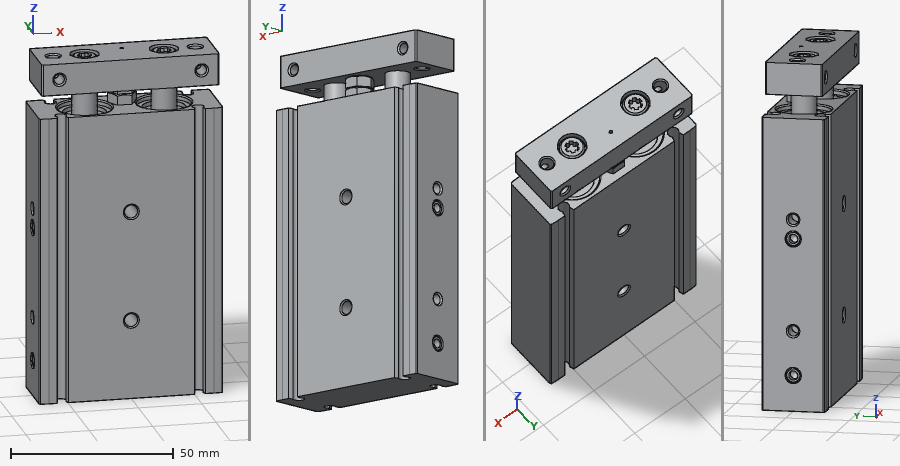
import cadquery as cq
import math

TOTAL_HEIGHT = 109.0

HOUSING_WIDTH = 58.0
HOUSING_DEPTH = 20.0
HOUSING_HEIGHT = 91.9

PLATE_WIDTH = 56.0
PLATE_DEPTH = 18.0
PLATE_HEIGHT = 10.0
PLATE_CHAMFER = 0.4

CORNER_WIDTH = 2.9
CORNER_DROP = 0.2
EDGE_CHAMFER = 0.3

SLOT_X = 21.7
SLOT_OUTER_WIDTH = 3.6
SLOT_INNER_WIDTH = 2.6
SLOT_LIP_DEPTH = 1.5
SLOT_BORE = 3.6
SLOT_BORE_DEPTH = 2.7

SMALL_DRILL = 3.3
SMALL_RIM = 4.3
LARGE_DRILL = 4.1
LARGE_RIM = 5.0
DRILL_TIP_ANGLE = 30.0

MOUNT_LOW_Z = 25.2
MOUNT_PITCH = 35.0
MOUNT_HEIGHTS = [MOUNT_LOW_Z, MOUNT_LOW_Z + MOUNT_PITCH]
SIDE_MOUNT_DEPTH = 6.0

PORT_LOW_Z = 11.2
PORT_PITCH = 42.8
PORT_HEIGHTS = [PORT_LOW_Z, PORT_LOW_Z + PORT_PITCH]
PORT_CENTRE_DROP = 0.3
PORT_CENTRE_DIAMETER = 4.1
PORT_SOCKET = 2.8
PORT_SOCKET_DEPTH = 2.7

PLATE_HOLE_X = 22.5

ROD_X = 12.5
ROD_DIAMETER = 8.0
ROD_INSERTION = 10.9
RECESS_RIM = 17.9
RECESS_DIAMETER = 17.0
RECESS_DEPTH = 1.6
GLAND_DIAMETER = 13.6
GLAND_DEPTH = 2.9

HEAD_BORE = 9.0
HEAD_BORE_DEPTH = 2.2
HEAD_DROP = 0.4
HEAD_TOP_DIAMETER = 6.9
SOCKET_DIAMETER = 4.4
SOCKET_LOBES = 6
SOCKET_SCALLOP = 1.1
SOCKET_DEPTH = 2.2

STOP_Y = 3.5
HEX_CORNERS = 9.2
HEX_TOP_DIAMETER = 6.9
HEX_CHAMFER_ANGLE = 30.0
BOLT_HEIGHT = 3.5
PINHOLE_DIAMETER = 1.0

HALF_WIDTH = HOUSING_WIDTH / 2
HALF_DEPTH = HOUSING_DEPTH / 2
PLATE_BOTTOM = TOTAL_HEIGHT - PLATE_HEIGHT
CROSS_HOLE_Z = PLATE_BOTTOM + PLATE_HEIGHT / 2
NUT_BOTTOM = HOUSING_HEIGHT + BOLT_HEIGHT
ROD_PLACES = (-ROD_X, ROD_X)


def cylinder(diameter, height):
    return cq.Workplane("XY").circle(diameter / 2).extrude(height)


def countersunk_hole(drill, rim, depth):
    """Blind flat-bottomed hole with a 45 degree countersink at its mouth."""
    sink = (rim - drill) / 2
    return (
        cq.Workplane("XZ")
        .lineTo(rim / 2, 0)
        .lineTo(drill / 2, sink)
        .lineTo(drill / 2, depth)
        .lineTo(0, depth)
        .close()
        .revolve(360, (0, 0, 0), (0, 1, 0))
    )


def countersunk_through_hole(drill, rim, length):
    """Hole of the given length, countersunk at both ends."""
    near = countersunk_hole(drill, rim, length / 2)
    far = near.mirror("XY").translate((0, 0, length))
    return near.union(far)


def port_hole():
    """Sunken port: a flat ring with a bevelled rim around a socket that ends in a drill tip."""
    rim_radius = LARGE_RIM / 2
    ring_radius = PORT_CENTRE_DIAMETER / 2
    socket_radius = PORT_SOCKET / 2
    bevel = rim_radius - ring_radius
    tip = socket_radius * math.tan(math.radians(DRILL_TIP_ANGLE))
    return (
        cq.Workplane("XZ")
        .lineTo(rim_radius, 0)
        .lineTo(rim_radius, PORT_CENTRE_DROP + bevel)
        .lineTo(ring_radius, PORT_CENTRE_DROP)
        .lineTo(socket_radius, PORT_CENTRE_DROP)
        .lineTo(socket_radius, PORT_SOCKET_DEPTH)
        .lineTo(0, PORT_SOCKET_DEPTH + tip)
        .close()
        .revolve(360, (0, 0, 0), (0, 1, 0))
    )


def toward_back(cutter):
    """Turn a cutter so that it runs along +Y."""
    return cutter.rotate((0, 0, 0), (1, 0, 0), -90)


def toward_right(cutter):
    """Turn a cutter so that it runs along +X."""
    return cutter.rotate((0, 0, 0), (0, 1, 0), 90)


def corner_relief():
    """Sliver that rounds off the +Y face beside its +X edge."""
    radius = (CORNER_WIDTH**2 + CORNER_DROP**2) / (2 * CORNER_DROP)
    half_angle = math.asin(CORNER_WIDTH / radius) / 2
    start_x = HALF_WIDTH - CORNER_WIDTH
    middle = (
        start_x + radius * math.sin(half_angle),
        HALF_DEPTH - radius * (1 - math.cos(half_angle)),
    )
    return (
        cq.Workplane("XY")
        .moveTo(start_x, HALF_DEPTH)
        .threePointArc(middle, (HALF_WIDTH, HALF_DEPTH - CORNER_DROP))
        .lineTo(HALF_WIDTH, HALF_DEPTH)
        .close()
        .extrude(HOUSING_HEIGHT)
    )


def switch_slot():
    """Slot in the +Y face on the +X side, over the whole housing height."""
    axis_y = HALF_DEPTH - SLOT_BORE_DEPTH
    lip_y = HALF_DEPTH - SLOT_LIP_DEPTH
    outer = SLOT_OUTER_WIDTH / 2
    inner = SLOT_INNER_WIDTH / 2
    mouth = (
        cq.Workplane("XY")
        .moveTo(SLOT_X - outer, HALF_DEPTH)
        .lineTo(SLOT_X - inner, lip_y)
        .lineTo(SLOT_X - inner, axis_y)
        .lineTo(SLOT_X + inner, axis_y)
        .lineTo(SLOT_X + inner, lip_y)
        .lineTo(SLOT_X + outer, HALF_DEPTH)
        .close()
        .extrude(HOUSING_HEIGHT)
    )
    return mouth.union(cylinder(SLOT_BORE, HOUSING_HEIGHT).translate((SLOT_X, axis_y, 0)))


def rod_recess():
    """Stepped opening for one rod, running down from the housing top."""
    opening = (
        countersunk_hole(RECESS_DIAMETER, RECESS_RIM, RECESS_DEPTH)
        .union(cylinder(GLAND_DIAMETER, GLAND_DEPTH))
        .union(cylinder(ROD_DIAMETER, ROD_INSERTION))
    )
    return opening.mirror("XY").translate((0, 0, HOUSING_HEIGHT))


def make_housing():
    body = cq.Workplane("XY").rect(HOUSING_WIDTH, HOUSING_DEPTH).extrude(HOUSING_HEIGHT)

    quarter = corner_relief().union(switch_slot())
    back_half = quarter.union(quarter.mirror("YZ"))
    body = body.cut(back_half).cut(back_half.mirror("XZ"))
    body = body.faces("<X or >X").edges("|Z").chamfer(EDGE_CHAMFER)

    front_hole = toward_back(countersunk_through_hole(LARGE_DRILL, LARGE_RIM, HOUSING_DEPTH))
    side_hole = toward_right(countersunk_hole(SMALL_DRILL, SMALL_RIM, SIDE_MOUNT_DEPTH))
    for z in MOUNT_HEIGHTS:
        body = body.cut(front_hole.translate((0, -HALF_DEPTH, z)))
        body = body.cut(side_hole.translate((-HALF_WIDTH, 0, z)))

    port = toward_right(port_hole())
    for z in PORT_HEIGHTS:
        body = body.cut(port.translate((-HALF_WIDTH, 0, z)))

    for x in ROD_PLACES:
        body = body.cut(rod_recess().translate((x, 0, 0)))
    return body


def make_plate():
    plate = (
        cq.Workplane("XY")
        .rect(PLATE_WIDTH, PLATE_DEPTH)
        .extrude(PLATE_HEIGHT)
        .edges("|Z")
        .chamfer(PLATE_CHAMFER)
        .translate((0, 0, PLATE_BOTTOM))
    )

    upright_hole = countersunk_through_hole(LARGE_DRILL, LARGE_RIM, PLATE_HEIGHT)
    cross_hole = toward_back(countersunk_through_hole(SMALL_DRILL, SMALL_RIM, PLATE_DEPTH))
    for x in (-PLATE_HOLE_X, PLATE_HOLE_X):
        plate = plate.cut(upright_hole.translate((x, 0, PLATE_BOTTOM)))
        plate = plate.cut(cross_hole.translate((x, -PLATE_DEPTH / 2, CROSS_HOLE_Z)))

    for x in ROD_PLACES:
        plate = plate.cut(cylinder(ROD_DIAMETER, PLATE_HEIGHT).translate((x, 0, PLATE_BOTTOM)))
        counterbore = cylinder(HEAD_BORE, HEAD_BORE_DEPTH)
        plate = plate.cut(counterbore.translate((x, 0, TOTAL_HEIGHT - HEAD_BORE_DEPTH)))

    return plate.cut(cylinder(PINHOLE_DIAMETER, PLATE_HEIGHT).translate((0, STOP_Y, PLATE_BOTTOM)))


def lobed_socket():
    """Six-lobed driver socket: a round hole with scallops between the lobes."""
    first_scallop = 180 / SOCKET_LOBES
    scallops = (
        cq.Workplane("XY")
        .polarArray(SOCKET_DIAMETER / 2, first_scallop, 360, SOCKET_LOBES)
        .circle(SOCKET_SCALLOP / 2)
        .extrude(SOCKET_DEPTH)
    )
    return cylinder(SOCKET_DIAMETER, SOCKET_DEPTH).cut(scallops)


def make_rod(x):
    bottom = HOUSING_HEIGHT - ROD_INSERTION
    length = TOTAL_HEIGHT - HEAD_DROP - bottom
    rod = cylinder(ROD_DIAMETER, length).faces(">Z").chamfer((ROD_DIAMETER - HEAD_TOP_DIAMETER) / 2)
    rod = rod.cut(lobed_socket().translate((0, 0, length - SOCKET_DEPTH)))
    return rod.translate((x, 0, bottom))


def make_hexagon(bottom, height):
    """Hexagonal block with conically chamfered top corners."""
    inset = (HEX_CORNERS - HEX_TOP_DIAMETER) / 2
    drop = inset * math.tan(math.radians(HEX_CHAMFER_ANGLE))
    envelope = cylinder(HEX_CORNERS, height).faces(">Z").edges().chamfer(drop, inset)
    prism = cq.Workplane("XY").polygon(6, HEX_CORNERS).extrude(height)
    return prism.intersect(envelope).translate((0, STOP_Y, bottom))


housing = make_housing()
plate = make_plate()
rods = [make_rod(x) for x in ROD_PLACES]
stop_bolt = make_hexagon(HOUSING_HEIGHT, BOLT_HEIGHT)
stop_nut = make_hexagon(NUT_BOTTOM, PLATE_BOTTOM - NUT_BOTTOM)

result = cq.Compound.makeCompound(
    [
        housing.val(),
        plate.val(),
        *[rod.val() for rod in rods],
        stop_bolt.val(),
        stop_nut.val(),
    ]
)